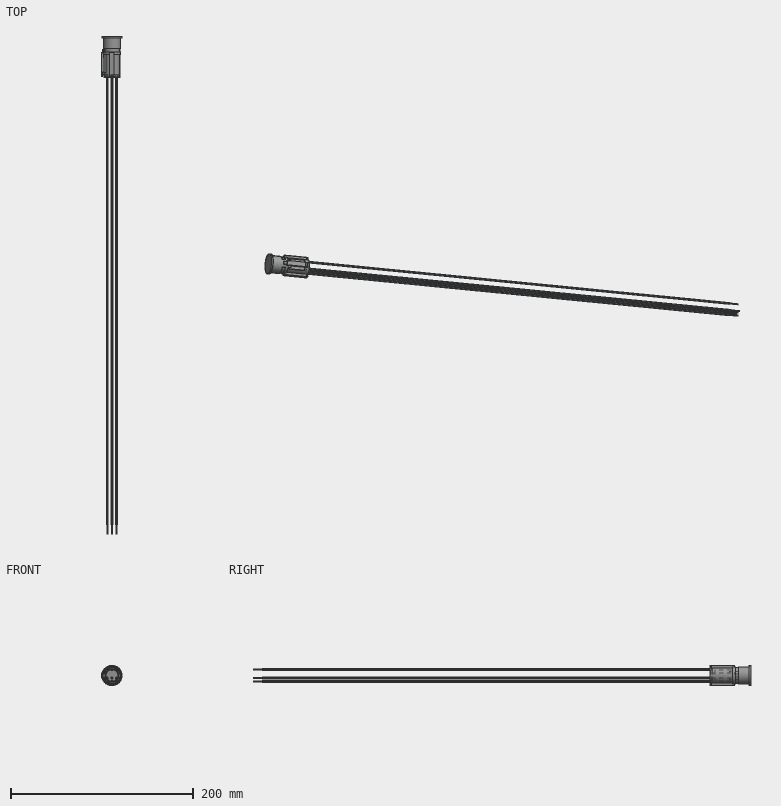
import cadquery as cq

overall_length = 544.5

bezel_diameter = 22.0
bezel_thickness = 2.0
barrel_diameter = 19.0
barrel_end = -11.5
collar_start = -15.0
collar_end = -18.0

neck_diameter = 17.6
socket_diameter = 17.5
socket_end = -43.0
rear_bore_diameter = 14.7
rear_bore_depth = 3.0
sleeve_outer_diameter = 13.3
sleeve_inner_diameter = 13.0
sleeve_recess = 1.0

wing_width = 5.0
wing_start = -16.0
leaf_thickness = 1.0
edge_wing_reach = bezel_diameter / 2
edge_web_end = -41.5
side_wing_reach = 11.45
side_web_end = -37.5
side_leaf_end = -42.0
crossbar_front = -39.4
crossbar_thickness = 0.8

pad_width = 11.6
pad_reach = 8.5
pad_start = -18.0
tongue_width = 9.0
tongue_end = -21.5
latch_width = 3.2
latch_start = -12.5

wire_diameter = 1.8
conductor_diameter = 1.04
strip_length = 10.0
wire_spread_x = 5.0
axis_wire_z = 6.5
side_wire_z = -2.75
wire_positions = [
    (0.0, axis_wire_z),
    (0.0, -axis_wire_z),
    (0.0, side_wire_z),
    (wire_spread_x, side_wire_z),
    (-wire_spread_x, side_wire_z),
]

wire_end = bezel_thickness - overall_length
insulation_end = wire_end + strip_length
bore_floor = socket_end + rear_bore_depth


def rod(diameter, front, back, x=0.0, z=0.0):
    """Cylinder along Y between the planes Y = front and Y = back."""
    plane = cq.Workplane("XZ", origin=(x, front, z))
    return plane.circle(diameter / 2).extrude(front - back)


def side_bar(width, inner_reach, outer_reach, front, back):
    """Bar on the -X side, centred on Z = 0, between two distances from the axis."""
    bar = cq.Workplane("XY").box(outer_reach - inner_reach, front - back, width)
    return bar.translate((-(inner_reach + outer_reach) / 2, (front + back) / 2, 0))


def make_body():
    """Bezel, barrel, necked collar and socket tube."""
    body = rod(bezel_diameter, bezel_thickness, 0)
    body = body.union(rod(barrel_diameter, 0, barrel_end))
    body = body.union(rod(neck_diameter, barrel_end, collar_end))
    body = body.union(rod(barrel_diameter, collar_start, collar_end))
    return body.union(rod(socket_diameter, collar_end, socket_end))


def cut_rear_bore(body):
    """Open the rear of the socket, leaving the thin inner sleeve standing in it."""
    sleeve = rod(sleeve_outer_diameter, bore_floor, socket_end + sleeve_recess)
    sleeve = sleeve.cut(rod(sleeve_inner_diameter, bore_floor, socket_end))
    return body.cut(rod(rear_bore_diameter, bore_floor, socket_end)).union(sleeve)


def make_wing(reach, web_end, leaf_end):
    """Wing on the -X side: a web under a thin leaf that overhangs it at the rear."""
    root = rear_bore_diameter / 2
    leaf_inner = reach - leaf_thickness
    web = side_bar(wing_width, root, leaf_inner, wing_start, web_end)
    return web.union(side_bar(wing_width, leaf_inner, reach, wing_start, leaf_end))


def make_side_latch():
    """Tongue, pad, latch nose and crossbar that go with the -X wing."""
    root = rear_bore_diameter / 2
    leaf_inner = side_wing_reach - leaf_thickness
    crossbar_back = crossbar_front - crossbar_thickness
    tongue_limits = side_bar(tongue_width, 0, bezel_diameter, barrel_end, tongue_end)
    latch = rod(barrel_diameter, barrel_end, tongue_end).intersect(tongue_limits)
    latch = latch.union(side_bar(pad_width, 0, pad_reach, pad_start, side_web_end))
    latch = latch.union(side_bar(latch_width, root, leaf_inner, latch_start, wing_start))
    return latch.union(side_bar(wing_width, root, side_wing_reach, crossbar_front, crossbar_back))


def make_wire(x, z):
    """Insulated wire with its conductor bared at the far end."""
    insulation = rod(wire_diameter, bore_floor, insulation_end, x, z)
    return insulation.union(rod(conductor_diameter, insulation_end, wire_end, x, z))


result = make_body()
edge_wing = make_wing(edge_wing_reach, edge_web_end, socket_end)
for turn in (90, -90):
    result = result.union(edge_wing.rotate((0, 0, 0), (0, 1, 0), turn))
result = result.union(make_wing(side_wing_reach, side_web_end, side_leaf_end))
result = result.union(make_side_latch())
result = cut_rear_bore(result)
for wire_x, wire_z in wire_positions:
    result = result.union(make_wire(wire_x, wire_z))
result = result.clean()